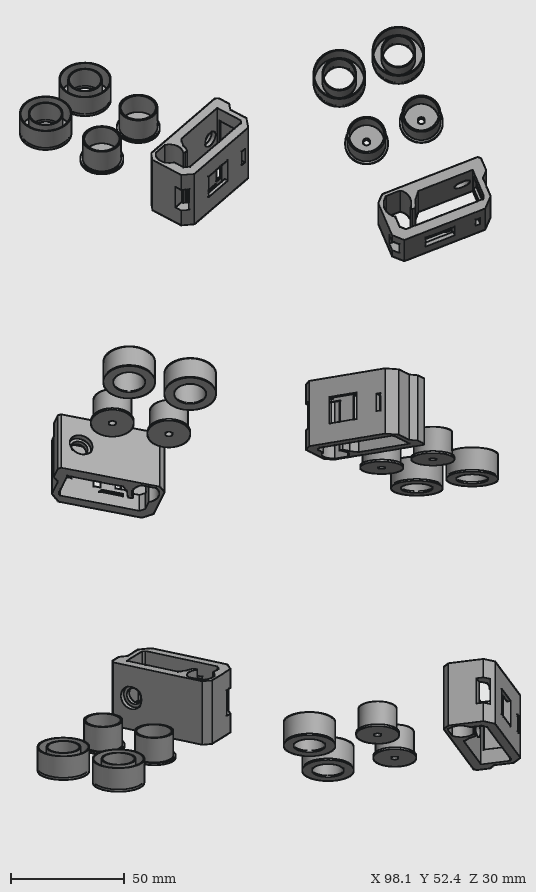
import cadquery as cq
import math

OVERALL_X = 98.1
OVERALL_Y = 52.4

HOUSING_WIDTH = 23.3
HOUSING_LENGTH = 49.7
HOUSING_HEIGHT = 30.0
MID_HEIGHT = HOUSING_HEIGHT / 2

FRONT_LEFT_CHAMFER = 3.1
FRONT_RIGHT_CHAMFER = 4.1
BACK_LEFT_CHAMFER = 1.2
BACK_RIGHT_CHAMFER = 4.4
STEP_DROP = 2.7
STEP_START_X = 7.2

CAVITY_LEFT = 4.7
CAVITY_RIGHT = 18.9
CAVITY_FRONT = 4.6
CAVITY_BACK = 44.2
CAVITY_FRONT_CHAMFER = 2.1
CAVITY_BACK_CHAMFER = 1.1

BORE_RADIUS = 6.1
BORE_X = 6.6
BORE_Y = 7.75
BORE_FLAT_X = 1.5
FIN_THICKNESS = 2
FIN_OUTER_RADIUS = BORE_RADIUS + FIN_THICKNESS
FIN_ROOT_X = 7.9
FIN_ROOT_TOP = 18.4
FIN_TIP_X = 11.5
FIN_TIP_ANGLE = math.radians(45)

SIDE_HOLE_Y = 39.3
SIDE_HOLE_DIAMETER = 7.5
COUNTERBORE_DIAMETER = 10.5
COUNTERBORE_DEPTH = 2.55

RECESS_RIGHT = 16.9
RECESS_LEFT = 5.7
RECESS_HEIGHT = 16.2
RECESS_DEPTH = 1.4

WEB_BACK_X = 19.8
POCKET_RIGHT = 21.6
REAR_OPENING_BACK = 27.8
POCKET_SETBACK = 0.3
POCKET_BACK = REAR_OPENING_BACK + POCKET_SETBACK
POCKET_HEIGHT = 12.2
WINDOW_LEFT = 16.0
WINDOW_BACK = 9.8
NARROW_SLOT_BACK = 39.9
NARROW_SLOT_WIDTH = 2.2
NARROW_SLOT_HEIGHT = 8.0
WEB_OPENING_BACK = 17.8
WEB_OPENING_HEIGHT = 9.8
REAR_OPENING_WIDTH = 3.3
SLIT_BACK = 25.3
SLIT_FRONT = 14.2
SLIT_HEIGHT = 1.5
SLIT_SPAN = 17.3

RING_OUTER_DIAMETER = 22.9
RING_GROOVE_OUTER_DIAMETER = 22.0
RING_GROOVE_INNER_DIAMETER = 15.0
RING_BORE_DIAMETER = 14.0
RING_HEIGHT = 11.2
RING_FLOOR = 1
RING_BASE_Z = 2.6
RING_X = HOUSING_WIDTH - OVERALL_X + RING_OUTER_DIAMETER / 2
RING_FRONT_Y = HOUSING_LENGTH - OVERALL_Y + RING_OUTER_DIAMETER / 2
RING_PITCH = 28.1
RING_COUNT = 2

CAP_FLANGE_DIAMETER = 19.0
CAP_FLANGE_THICKNESS = 1
CAP_BODY_DIAMETER = 17.0
CAP_INNER_DIAMETER = 15.4
CAP_HOLE_DIAMETER = 3.2
CAP_HEIGHT = 12.5
CAP_FLOOR = 2.8
CAP_BASE_Z = 3.8
CAP_X = -32.1
CAP_FRONT_Y = 8.9
CAP_PITCH = 26.0
CAP_COUNT = 2


def box_between(x_range, y_range, z_range):
    """Box filling the given ranges."""
    size = [high - low for low, high in (x_range, y_range, z_range)]
    return cq.Workplane("XY").box(*size, centered=False).translate((x_range[0], y_range[0], z_range[0]))


def mid_height_box(x_range, y_range, height):
    """Box of the given height, centred on the housing's mid height."""
    return box_between(x_range, y_range, (MID_HEIGHT - height / 2, MID_HEIGHT + height / 2))


def housing_block():
    step_y = HOUSING_LENGTH - STEP_DROP
    return (
        cq.Workplane("XY")
        .moveTo(FRONT_LEFT_CHAMFER, 0)
        .lineTo(HOUSING_WIDTH - FRONT_RIGHT_CHAMFER, 0)
        .lineTo(HOUSING_WIDTH, FRONT_RIGHT_CHAMFER)
        .lineTo(HOUSING_WIDTH, step_y - BACK_RIGHT_CHAMFER)
        .lineTo(HOUSING_WIDTH - BACK_RIGHT_CHAMFER, step_y)
        .lineTo(STEP_START_X + STEP_DROP, step_y)
        .lineTo(STEP_START_X, HOUSING_LENGTH)
        .lineTo(BACK_LEFT_CHAMFER, HOUSING_LENGTH)
        .lineTo(0, HOUSING_LENGTH - BACK_LEFT_CHAMFER)
        .lineTo(0, FRONT_LEFT_CHAMFER)
        .close()
        .extrude(HOUSING_HEIGHT)
    )


def above_bore(x, radius):
    """Point at x on the upper half of a circle round the bore axis."""
    return x, BORE_Y + math.sqrt(radius**2 - (x - BORE_X) ** 2)


def below_bore(y):
    """Point at height y on the right half of the bore circle."""
    return BORE_X + math.sqrt(BORE_RADIUS**2 - (y - BORE_Y) ** 2), y


def cavity():
    """Main cavity joined to the bore, leaving the fin standing between them."""
    flat_top = above_bore(BORE_FLAT_X, BORE_RADIUS)
    flat_bottom = (BORE_FLAT_X, 2 * BORE_Y - flat_top[1])
    fin_tip_inner_x = BORE_X + BORE_RADIUS * math.cos(FIN_TIP_ANGLE)
    fin_middle_x = (FIN_ROOT_X + FIN_TIP_X) / 2
    return (
        cq.Workplane("XY")
        .moveTo(CAVITY_LEFT, CAVITY_BACK)
        .lineTo(CAVITY_RIGHT - CAVITY_BACK_CHAMFER, CAVITY_BACK)
        .lineTo(CAVITY_RIGHT, CAVITY_BACK - CAVITY_BACK_CHAMFER)
        .lineTo(CAVITY_RIGHT, CAVITY_FRONT + CAVITY_FRONT_CHAMFER)
        .lineTo(CAVITY_RIGHT - CAVITY_FRONT_CHAMFER, CAVITY_FRONT)
        .lineTo(*below_bore(CAVITY_FRONT))
        .threePointArc((BORE_X, BORE_Y - BORE_RADIUS), flat_bottom)
        .lineTo(*flat_top)
        .threePointArc((BORE_X, BORE_Y + BORE_RADIUS), above_bore(fin_tip_inner_x, BORE_RADIUS))
        .lineTo(FIN_TIP_X, BORE_Y + (FIN_TIP_X - BORE_X) * math.tan(FIN_TIP_ANGLE))
        .lineTo(*above_bore(FIN_TIP_X, FIN_OUTER_RADIUS))
        .threePointArc(
            above_bore(fin_middle_x, FIN_OUTER_RADIUS),
            above_bore(FIN_ROOT_X, FIN_OUTER_RADIUS),
        )
        .lineTo(CAVITY_LEFT, FIN_ROOT_TOP)
        .close()
        .extrude(HOUSING_HEIGHT)
    )


def side_hole():
    """Counterbored hole through the -X wall."""
    face = cq.Workplane("YZ").center(SIDE_HOLE_Y, MID_HEIGHT)
    hole = face.circle(SIDE_HOLE_DIAMETER / 2).extrude(CAVITY_LEFT)
    counterbore = face.circle(COUNTERBORE_DIAMETER / 2).extrude(COUNTERBORE_DEPTH)
    return hole.union(counterbore)


def back_recess():
    return mid_height_box(
        (RECESS_LEFT, RECESS_RIGHT), (CAVITY_BACK, CAVITY_BACK + RECESS_DEPTH), RECESS_HEIGHT
    )


def web_slit(side):
    """Long slit through the web, below (-1) or above (+1) mid height, sloped at its back end."""
    far_z = MID_HEIGHT + side * SLIT_SPAN / 2
    near_z = far_z - side * SLIT_HEIGHT
    outline = [
        (SLIT_FRONT, near_z),
        (SLIT_BACK - SLIT_HEIGHT, near_z),
        (SLIT_BACK, far_z),
        (SLIT_FRONT, far_z),
    ]
    face = cq.Workplane("YZ", origin=(CAVITY_RIGHT, 0, 0)).polyline(outline).close()
    return face.extrude(WEB_BACK_X - CAVITY_RIGHT)


def right_wall_openings():
    """Pocket inside the +X wall with its window, slots and slits."""
    web_slot = mid_height_box(
        (CAVITY_RIGHT, WEB_BACK_X),
        (NARROW_SLOT_BACK - NARROW_SLOT_WIDTH, NARROW_SLOT_BACK),
        NARROW_SLOT_HEIGHT,
    )
    outer_slot_back = NARROW_SLOT_BACK + POCKET_SETBACK
    outer_slot = mid_height_box(
        (WEB_BACK_X, HOUSING_WIDTH),
        (outer_slot_back - NARROW_SLOT_WIDTH, outer_slot_back),
        NARROW_SLOT_HEIGHT,
    )
    window = mid_height_box((WINDOW_LEFT, POCKET_RIGHT), (0, WINDOW_BACK), POCKET_HEIGHT)
    pocket = mid_height_box((WEB_BACK_X, POCKET_RIGHT), (0, POCKET_BACK), POCKET_HEIGHT)
    tall_pocket = mid_height_box((WEB_BACK_X, POCKET_RIGHT), (SLIT_FRONT, POCKET_BACK), SLIT_SPAN)
    outer_opening = mid_height_box((POCKET_RIGHT, HOUSING_WIDTH), (SLIT_FRONT, POCKET_BACK), POCKET_HEIGHT)
    web_opening = mid_height_box((CAVITY_RIGHT, WEB_BACK_X), (0, WEB_OPENING_BACK), WEB_OPENING_HEIGHT)
    rear_opening = mid_height_box(
        (CAVITY_RIGHT, WEB_BACK_X),
        (REAR_OPENING_BACK - REAR_OPENING_WIDTH, REAR_OPENING_BACK),
        POCKET_HEIGHT,
    )
    openings = web_slot
    for opening in (outer_slot, window, pocket, tall_pocket, outer_opening, web_opening, rear_opening):
        openings = openings.union(opening)
    for side in (-1, 1):
        openings = openings.union(web_slit(side))
    return openings


def make_housing():
    return housing_block().cut(cavity()).cut(side_hole()).cut(back_recess()).cut(right_wall_openings())


def make_ring(y):
    """Ring with its axis at the given y, grooved from the top."""
    blank = (
        cq.Workplane("XY")
        .circle(RING_OUTER_DIAMETER / 2)
        .circle(RING_BORE_DIAMETER / 2)
        .extrude(RING_HEIGHT)
    )
    groove = (
        cq.Workplane("XY", origin=(0, 0, RING_FLOOR))
        .circle(RING_GROOVE_OUTER_DIAMETER / 2)
        .circle(RING_GROOVE_INNER_DIAMETER / 2)
        .extrude(RING_HEIGHT - RING_FLOOR)
    )
    return blank.cut(groove).translate((RING_X, y, RING_BASE_Z))


def make_cap(y):
    """Flanged cap with its axis at the given y, hollow from the top."""
    flange = cq.Workplane("XY").circle(CAP_FLANGE_DIAMETER / 2).extrude(CAP_FLANGE_THICKNESS)
    body = cq.Workplane("XY").circle(CAP_BODY_DIAMETER / 2).extrude(CAP_HEIGHT)
    inside = (
        cq.Workplane("XY", origin=(0, 0, CAP_FLOOR))
        .circle(CAP_INNER_DIAMETER / 2)
        .extrude(CAP_HEIGHT - CAP_FLOOR)
    )
    hole = cq.Workplane("XY").circle(CAP_HOLE_DIAMETER / 2).extrude(CAP_FLOOR)
    return flange.union(body).cut(inside).cut(hole).translate((CAP_X, y, CAP_BASE_Z))


housing = make_housing()
rings = [make_ring(RING_FRONT_Y + index * RING_PITCH) for index in range(RING_COUNT)]
caps = [make_cap(CAP_FRONT_Y + index * CAP_PITCH) for index in range(CAP_COUNT)]

result = cq.Compound.makeCompound([body.val() for body in (housing, *rings, *caps)])